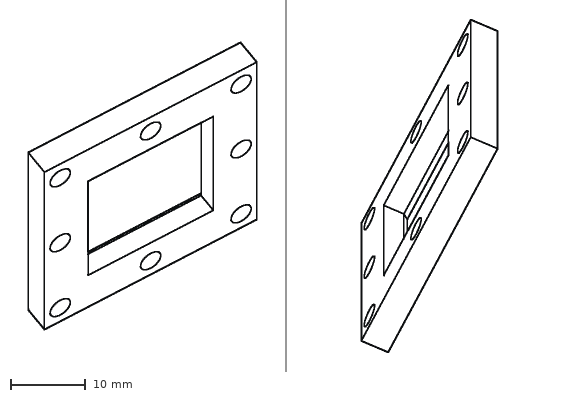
import cadquery as cq

thickness = 4.0
width = 34.0
height = 34.5

window_width = 20.08
window_height = 20.55
mouth_margin = 1.05
mouth_depth = 1.0

hole_diameter = 3.2
hole_pitch_y = 14.5
hole_pitch_z = 14.2

front_x = -thickness / 2


def plane_at(x):
    """Workplane facing +X, with local axes along Y and Z."""
    return cq.Workplane("YZ", origin=(x, 0, 0))


plate = cq.Workplane("XY").box(thickness, width, height)

window = plane_at(front_x).rect(window_width, window_height).extrude(thickness)

mouth = (
    plane_at(front_x)
    .rect(window_width + 2 * mouth_margin, window_height + 2 * mouth_margin)
    .workplane(offset=mouth_depth)
    .rect(window_width, window_height)
    .loft(ruled=True)
)

hole_centers = [
    (column * hole_pitch_y, row * hole_pitch_z)
    for column in (-1, 0, 1)
    for row in (-1, 0, 1)
    if (column, row) != (0, 0)
]
holes = plane_at(front_x).pushPoints(hole_centers).circle(hole_diameter / 2).extrude(thickness)

result = plate.cut(window).cut(mouth).cut(holes)